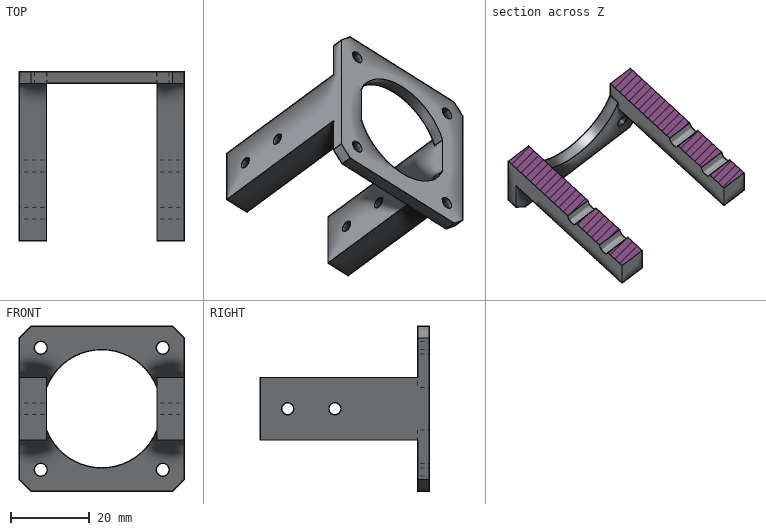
import cadquery as cq

plate_size = 42.0
plate_thickness = 3.0
corner_chamfer = 3.0
bore_diameter = 30.0
screw_hole_diameter = 3.2
screw_hole_spacing = 31.0

arm_length = 40.0
arm_width = 7.0
arm_height = 16.0
arm_hole_diameter = 3.0
arm_hole_end_distance = 7.0
arm_hole_spacing = 12.0


def make_plate():
    """Chamfered square plate with a central bore and four screw holes."""
    blank = (
        cq.Workplane("XY")
        .box(plate_size, plate_thickness, plate_size, centered=(True, False, True))
        .edges("|Y")
        .chamfer(corner_chamfer)
    )
    bored = blank.faces("<Y").workplane(origin=(0, 0, 0)).hole(bore_diameter)
    return (
        bored.faces("<Y")
        .workplane(origin=(0, 0, 0))
        .rect(screw_hole_spacing, screw_hole_spacing, forConstruction=True)
        .vertices()
        .hole(screw_hole_diameter)
    )


def make_arm(side):
    """Arm flush with one X edge of the plate; side is -1 or +1. It runs through the plate."""
    center_x = side * (plate_size - arm_width) / 2
    length = arm_length + plate_thickness
    return (
        cq.Workplane("XY")
        .box(arm_width, length, arm_height, centered=(True, False, True))
        .translate((center_x, -arm_length, 0))
    )


def make_arm_holes():
    """Cross holes along X, running through both arms."""
    first_y = -arm_length + arm_hole_end_distance
    positions = [(first_y, 0), (first_y + arm_hole_spacing, 0)]
    return (
        cq.Workplane("YZ")
        .pushPoints(positions)
        .circle(arm_hole_diameter / 2)
        .extrude(plate_size / 2, both=True)
    )


result = make_plate()
for side in (-1, 1):
    result = result.union(make_arm(side))
result = result.cut(make_arm_holes())